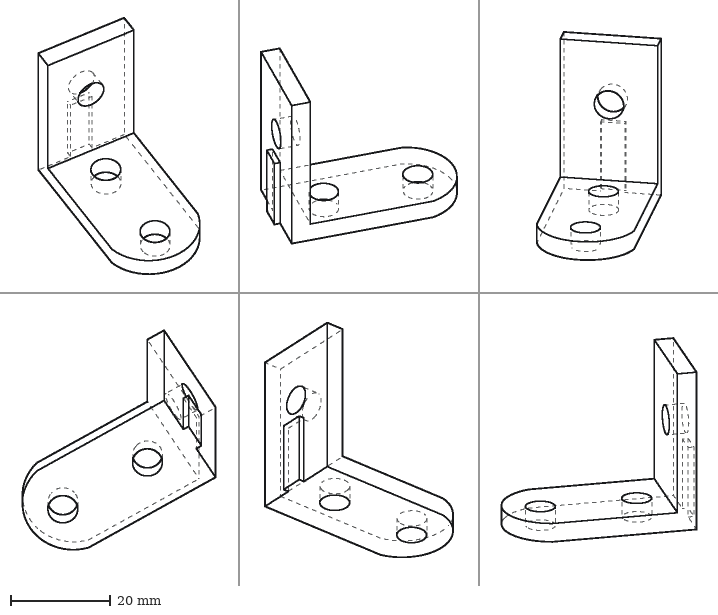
import cadquery as cq

length = 39.08
width = 20.0
height = 34.0

plate_thickness = 4.0
rib_depth = 1.2
rib_width = 5.0
rib_height = 15.0

hole_diameter = 6.0
near_hole_x = 11.25
far_hole_x = 31.25
wall_hole_z = 20.4
arc_start_x = far_hole_x

wall_back_x = rib_depth


def make_base():
    """Horizontal plate with a shallow arc end and two through holes."""
    half_width = width / 2
    plate = (
        cq.Workplane("XY")
        .moveTo(wall_back_x, -half_width)
        .lineTo(arc_start_x, -half_width)
        .threePointArc((length, 0), (arc_start_x, half_width))
        .lineTo(wall_back_x, half_width)
        .close()
        .extrude(plate_thickness)
    )
    holes = (
        cq.Workplane("XY")
        .pushPoints([(near_hole_x, 0), (far_hole_x, 0)])
        .circle(hole_diameter / 2)
        .extrude(plate_thickness)
    )
    return plate.cut(holes)


def make_wall():
    """Vertical plate with one through hole."""
    plate = (
        cq.Workplane("XY")
        .box(plate_thickness, width, height, centered=(False, True, False))
        .translate((wall_back_x, 0, 0))
    )
    hole = (
        cq.Workplane("YZ", origin=(wall_back_x, 0, wall_hole_z))
        .circle(hole_diameter / 2)
        .extrude(plate_thickness)
    )
    return plate.cut(hole)


def make_rib():
    """Locating rib on the back of the wall, sharing a face with it."""
    return cq.Workplane("XY").box(rib_depth, rib_width, rib_height, centered=(False, True, False))


result = make_base().union(make_wall()).union(make_rib())